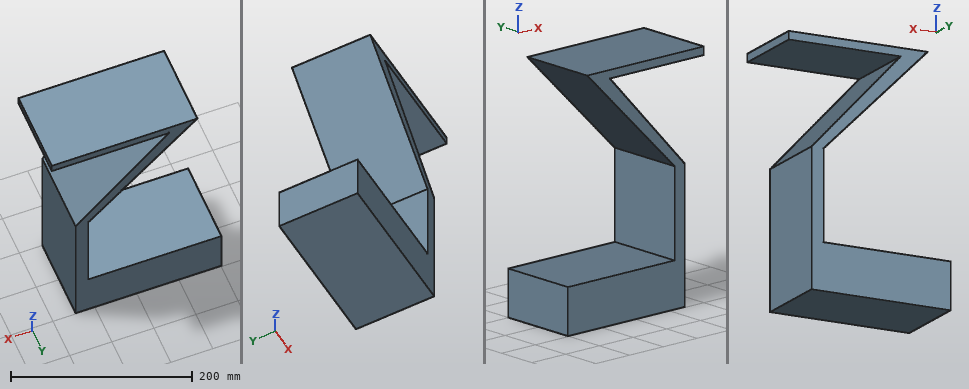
import cadquery as cq

overall_length = 201.5
depth = 99.0
height = 294.0
base_length = 173.5
base_height = 56.5
wall_thickness = 15.3
knee_height = 164.5
shelf_start = 28.5
shelf_thickness = 10.0
inner_corner_x = 62.3

wall_inner_x = base_length - wall_thickness
shelf_underside = height - shelf_thickness

profile = [
    (0, 0),
    (base_length, 0),
    (base_length, knee_height),
    (inner_corner_x, shelf_underside),
    (overall_length, shelf_underside),
    (overall_length, height),
    (shelf_start, height),
    (wall_inner_x, knee_height),
    (wall_inner_x, base_height),
    (0, base_height),
]

result = cq.Workplane("XZ").polyline(profile).close().extrude(-depth)